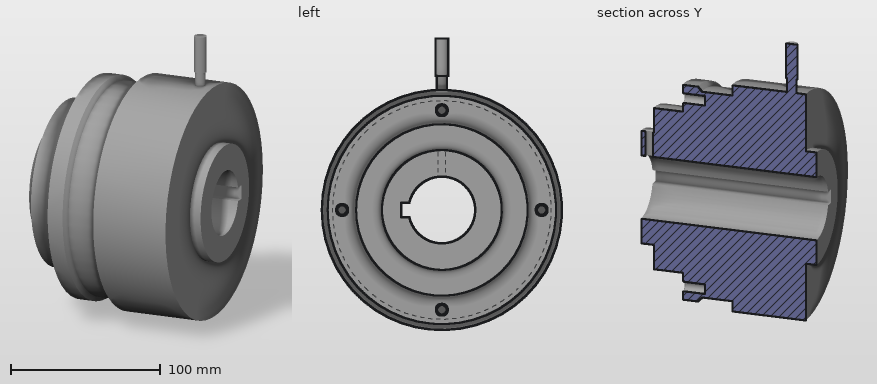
import cadquery as cq

hub_diameter = 80.0
shoulder_diameter = 114.5
flange_diameter = 152.5
drum_diameter = 160.5
hub_end = 9.0
shoulder_end = 29.6
flange_rim_end = 40.5
bevel_length = 3.0
flange_end = flange_rim_end + bevel_length
neck_diameter = 146.1
neck_end = 64.7
drum_end = 117.5
total_length = 125.3

bore_diameter = 44.5
keyway_width = 9.5
keyway_reach = 27.0

bolt_count = 4
bolt_circle_diameter = 133.3
bolt_hole_diameter = 6.5
bolt_hole_depth = 15.5
bolt_hole_chamfer = 0.8

screw_x = 5.6
screw_hole_diameter = 5.0
screw_hole_chamfer = 0.8

overall_height = 194.8
pin_x = 107.3
pin_stem_diameter = 7.0
pin_head_diameter = 8.5
pin_head_length = 25.0
pin_root_depth = 3.9
pin_top = overall_height - drum_diameter / 2


def stepped_body():
    """Solid of revolution about the X axis."""
    profile = [
        (0, 0),
        (0, hub_diameter / 2),
        (hub_end, hub_diameter / 2),
        (hub_end, shoulder_diameter / 2),
        (shoulder_end, shoulder_diameter / 2),
        (shoulder_end, flange_diameter / 2),
        (flange_rim_end, flange_diameter / 2),
        (flange_end, neck_diameter / 2),
        (neck_end, neck_diameter / 2),
        (neck_end, drum_diameter / 2),
        (drum_end, drum_diameter / 2),
        (drum_end, hub_diameter / 2),
        (total_length, hub_diameter / 2),
        (total_length, 0),
    ]
    return cq.Workplane("XY").polyline(profile).close().revolve(360, (0, 0, 0), (1, 0, 0))


def keyed_bore():
    """Through bore with a keyway on its +Y side."""
    bore = cq.Workplane("YZ").circle(bore_diameter / 2).extrude(total_length)
    keyway = cq.Workplane("XY").box(
        total_length, keyway_reach, keyway_width, centered=(False, False, True)
    )
    return bore.union(keyway)


def chamfered_hole(diameter, depth, chamfer):
    """Cutter along +Z from the origin, widened by a chamfer at the origin end."""
    radius = diameter / 2
    profile = [
        (0, 0),
        (radius + chamfer, 0),
        (radius, chamfer),
        (radius, depth),
        (0, depth),
    ]
    return cq.Workplane("XZ").polyline(profile).close().revolve(360, (0, 0, 0), (0, 1, 0))


def bolt_holes():
    """Ring of blind holes entering the flange from its front face."""
    hole = chamfered_hole(bolt_hole_diameter, bolt_hole_depth, bolt_hole_chamfer)
    hole = hole.rotate((0, 0, 0), (0, 1, 0), 90)
    hole = hole.translate((shoulder_end, 0, bolt_circle_diameter / 2))
    holes = cq.Workplane("XY")
    for index in range(bolt_count):
        holes = holes.add(hole.rotate((0, 0, 0), (1, 0, 0), index * 360 / bolt_count))
    return holes.combine()


def screw_hole():
    """Radial hole from the top of the hub down to the bore axis."""
    hole = chamfered_hole(screw_hole_diameter, hub_diameter / 2, screw_hole_chamfer)
    hole = hole.rotate((0, 0, 0), (1, 0, 0), 180)
    return hole.translate((screw_x, 0, hub_diameter / 2))


def pin():
    """Two-diameter pin rooted in the drum."""
    stem_bottom = drum_diameter / 2 - pin_root_depth
    head_bottom = pin_top - pin_head_length
    base = cq.Workplane("XY", origin=(pin_x, 0, stem_bottom))
    stem = base.circle(pin_stem_diameter / 2).extrude(head_bottom - stem_bottom)
    head = cq.Workplane("XY", origin=(pin_x, 0, head_bottom))
    return stem.union(head.circle(pin_head_diameter / 2).extrude(pin_head_length))


result = (
    stepped_body()
    .cut(keyed_bore())
    .cut(bolt_holes())
    .cut(screw_hole())
    .union(pin())
)